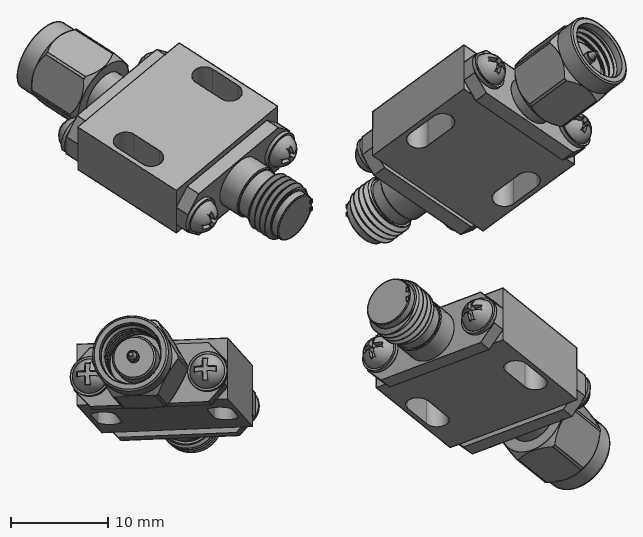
import cadquery as cq
import math


housing_length = 13.47
housing_width = 15.75
housing_top = 3.85
housing_height = 6.4
slot_length = 6.0
slot_width = 2.54
slot_spacing = 12.2

flange_thickness = 1.58
flange_height = 6.2
flange_corner_y = 1.69
flange_corner_z = 1.8

screw_spacing = 12.28
head_diameter = 4.1
head_rim = 0.42
dome_diameter = 3.64
dome_height = 1.53
recess_length = 2.3
recess_width = 0.55
recess_depth = 0.7

neck_diameter = 5.33
thread_pitch = 0.706
thread_diameter = 6.4
groove_root_width = 0.12
groove_rim_width = 0.68
groove_overshoot = 0.05
edge_chamfer = 0.1

nut_length = 8.44
nut_across_flats = 7.94
nut_across_corners = 9.0
collar_length = 2.06
collar_diameter = 7.92
hex_chamfer = 0.6
nut_rear_diameter = 7.8
nut_front_chamfer = 0.12
nut_face_diameter = 7.54
nut_thread_minor = 5.8
nut_entry_diameter = 6.46
nut_entry_depth = 0.75
nut_entry_cone_length = 0.45
nut_thread_depth = 4.2
inner_thread_phase = 0.26

male_neck_gap = 1.84
shoulder_thickness = 1.2
plug_diameter = 4.55
plug_chamfer = 0.18
plug_face_depth = 1.9

pin_cone_diameter = 0.9
pin_base_diameter = 1.16
pin_base_length = 0.7
pin_tip_diameter = 0.42
pin_tip_depth = 0.4
pin_seat_depth = 2.0

barrel_diameter = 5.8
barrel_length = 2.44
female_neck_length = 1.36
thread_length = 3.09
thread_end_chamfer = 0.3
outer_thread_root = neck_diameter + 0.02
outer_thread_phase = 0.31
tip_length = 0.85
pad_height = 0.1
pad_thickness = 0.3
pad_width = 0.5
pad_radius = 2.4
pad_spacing = 1.15

flange_outer_x = housing_length / 2 + flange_thickness
nut_rear_x = -flange_outer_x - male_neck_gap
nut_front_x = nut_rear_x - nut_length
nut_thread_end_x = nut_front_x + nut_thread_depth
shoulder_rear_x = nut_thread_end_x + shoulder_thickness
plug_face_x = nut_front_x + plug_face_depth
pin_tip_x = nut_front_x + pin_tip_depth
pin_base_x = plug_face_x - pin_base_length
pin_rear_x = plug_face_x + pin_seat_depth
thread_start_x = flange_outer_x + barrel_length + female_neck_length
thread_end_x = thread_start_x + thread_length
female_end_x = thread_end_x + tip_length


def cylinder(diameter, start_x, end_x):
    """A cylinder on the X axis."""
    return cq.Workplane("YZ", origin=(start_x, 0, 0)).circle(diameter / 2).extrude(end_x - start_x)


def revolved(points):
    """Turn an (x, radius) outline about the X axis."""
    return cq.Workplane("XY").polyline(points).close().revolve(360, (0, 0, 0), (1, 0, 0))


def threaded_cylinder(start_x, end_x, root_diameter, phase_x, end_chamfer=0):
    """A cylinder with a right-hand V groove; `phase_x` shifts the groove along X."""
    thread = cylinder(thread_diameter, start_x, end_x)
    if end_chamfer:
        thread = thread.faces("<X or >X").chamfer(end_chamfer)
    root_radius = root_diameter / 2
    rim_radius = thread_diameter / 2 + groove_overshoot
    half_root = groove_root_width / 2
    half_rim = groove_rim_width / 2
    profile = [
        (root_radius, -half_root), (rim_radius, -half_rim), (rim_radius, half_rim), (root_radius, half_root),
    ]
    turns = math.ceil((end_x - start_x) / thread_pitch) + 2
    helix = cq.Wire.makeHelix(thread_pitch, turns * thread_pitch, root_radius)
    groove = cq.Workplane("XZ").polyline(profile).close().sweep(cq.Workplane(helix), isFrenet=True)
    groove = groove.rotate((0, 0, 0), (0, 1, 0), 90)
    return thread.cut(groove.translate((start_x - thread_pitch + phase_x, 0, 0)))


def make_housing():
    block = cq.Workplane("XY", origin=(0, 0, housing_top - housing_height / 2)).box(
        housing_length, housing_width, housing_height
    )
    return (
        block.faces(">Z").workplane(origin=(0, 0, 0))
        .pushPoints([(0, slot_spacing / 2), (0, -slot_spacing / 2)])
        .slot2D(slot_length, slot_width)
        .cutThruAll()
    )


def make_flange(start_x):
    """A plate across the housing end with its four corners cut off."""
    half_y = housing_width / 2
    half_z = flange_height / 2
    inner_y = half_y - flange_corner_y
    inner_z = half_z - flange_corner_z
    outline = [
        (inner_y, half_z), (half_y, inner_z), (half_y, -inner_z), (inner_y, -half_z),
        (-inner_y, -half_z), (-half_y, -inner_z), (-half_y, inner_z), (-inner_y, half_z),
    ]
    plate = cq.Workplane("YZ", origin=(start_x, 0, 0)).polyline(outline).close()
    return plate.extrude(flange_thickness)


def make_screw(side, y):
    """A domed cross-recess head seated on the flange at X side `side` (1 or -1)."""
    top = head_rim + dome_height
    dome_radius = dome_diameter / 2
    sphere_radius = (dome_radius**2 + dome_height**2) / (2 * dome_height)
    sphere_centre = top - sphere_radius
    bulge = math.atan2(dome_radius, head_rim - sphere_centre) / 2
    arc_middle = (sphere_radius * math.sin(bulge), sphere_centre + sphere_radius * math.cos(bulge))
    head = (
        cq.Workplane("XZ")
        .lineTo(head_diameter / 2, 0)
        .lineTo(head_diameter / 2, head_rim)
        .lineTo(dome_radius, head_rim)
        .threePointArc(arc_middle, (0, top))
        .close()
        .revolve(360, (0, 0, 0), (0, 1, 0))
    )
    for length_x, length_y in [(recess_length, recess_width), (recess_width, recess_length)]:
        arm = cq.Workplane("XY", origin=(0, 0, top - recess_depth)).rect(length_x, length_y)
        head = head.cut(arm.extrude(recess_depth))
    turned = head.rotate((0, 0, 0), (0, 1, 0), 90 * side)
    return turned.translate((side * flange_outer_x, y, 0))


def make_nut():
    """Hexagonal coupling nut with a round front collar and an inner thread."""
    collar_end_x = nut_front_x + collar_length
    entry_cone_x = nut_front_x + nut_entry_depth
    corner_radius = nut_across_corners / 2
    collar_radius = collar_diameter / 2
    envelope = revolved([
        (nut_front_x, 0),
        (nut_front_x, nut_face_diameter / 2),
        (nut_front_x + nut_front_chamfer, collar_radius),
        (collar_end_x, collar_radius),
        (collar_end_x + hex_chamfer, corner_radius),
        (nut_rear_x - hex_chamfer, corner_radius),
        (nut_rear_x, nut_rear_diameter / 2),
        (nut_rear_x, 0),
    ])
    hexagon = (
        cq.Workplane("YZ", origin=(nut_front_x, 0, 0))
        .polygon(6, nut_across_flats, circumscribed=True)
        .extrude(nut_length)
        .rotate((0, 0, 0), (1, 0, 0), 90)
    )
    nut = envelope.intersect(hexagon)
    entry = revolved([
        (nut_front_x, 0),
        (nut_front_x, nut_entry_diameter / 2),
        (entry_cone_x, nut_entry_diameter / 2),
        (entry_cone_x + nut_entry_cone_length, nut_thread_minor / 2),
        (entry_cone_x + nut_entry_cone_length, 0),
    ])
    nut = nut.cut(entry)
    nut = nut.cut(threaded_cylinder(entry_cone_x, nut_thread_end_x, nut_thread_minor, inner_thread_phase))
    nut = nut.cut(cylinder(thread_diameter, nut_thread_end_x, shoulder_rear_x))
    return nut.cut(cylinder(neck_diameter, shoulder_rear_x, nut_rear_x))


def make_male_body():
    """Flange, neck, the shoulder held inside the nut, and the plug that carries the pin."""
    body = make_flange(-flange_outer_x)
    body = body.union(cylinder(neck_diameter, shoulder_rear_x, -flange_outer_x))
    body = body.union(cylinder(thread_diameter, nut_thread_end_x, shoulder_rear_x))
    plug = cylinder(plug_diameter, plug_face_x, nut_thread_end_x).faces("<X").chamfer(plug_chamfer)
    return body.union(plug).cut(cylinder(pin_base_diameter, plug_face_x, pin_rear_x))


def make_pin():
    return revolved([
        (pin_tip_x, 0),
        (pin_tip_x, pin_tip_diameter / 2),
        (pin_base_x, pin_cone_diameter / 2),
        (pin_base_x, pin_base_diameter / 2),
        (pin_rear_x, pin_base_diameter / 2),
        (pin_rear_x, 0),
    ])


def make_female_body():
    """Flange, barrel, neck and threaded end with two small pads on its end face."""
    body = make_flange(housing_length / 2)
    barrel = cylinder(barrel_diameter, flange_outer_x, flange_outer_x + barrel_length)
    body = body.union(barrel.faces(">X").chamfer(edge_chamfer))
    core = cylinder(neck_diameter, flange_outer_x, female_end_x).faces(">X").chamfer(edge_chamfer)
    pads = (
        cq.Workplane("YZ", origin=(female_end_x, pad_radius, 0))
        .pushPoints([(0, pad_spacing / 2), (0, -pad_spacing / 2)])
        .rect(pad_thickness, pad_width)
        .extrude(pad_height)
    )
    thread = threaded_cylinder(
        thread_start_x, thread_end_x, outer_thread_root, outer_thread_phase, thread_end_chamfer
    )
    return body.union(core).union(thread).union(pads)


housing = make_housing()
male_body = make_male_body()
female_body = make_female_body()
coupling_nut = make_nut()
pin = make_pin()
screws = [make_screw(side, y) for side in (-1, 1) for y in (-screw_spacing / 2, screw_spacing / 2)]

result = cq.Compound.makeCompound([
    housing.val(),
    male_body.val(),
    female_body.val(),
    coupling_nut.val(),
    pin.val(),
    *[screw.val() for screw in screws],
])